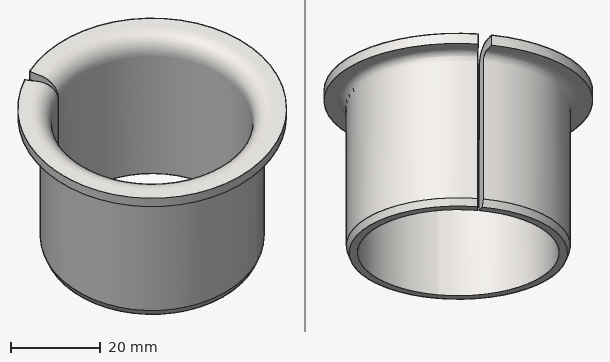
import cadquery as cq
import math

flange_diameter = 60.0
height = 40.0
bore_diameter = 45.0
wall = 2.5
flare_radius = 4.5
chamfer_height = 1.75
chamfer_angle = 20.0
gap_angle = 20.0
gap_at_bore = 0.35

flange_radius = flange_diameter / 2
bore_radius = bore_diameter / 2
body_radius = bore_radius + wall
bend_center_radius = bore_radius + flare_radius
bend_center_z = height - flare_radius
under_bend_radius = flare_radius - wall
chamfer_width = chamfer_height * math.tan(math.radians(chamfer_angle))


def bend_middle(radius):
    """Midpoint of a quarter-circle bend about the common bend center."""
    offset = radius * math.sqrt(0.5)
    return (bend_center_radius - offset, bend_center_z + offset)


def flanged_sleeve():
    """Revolve the wall section: sleeve, concentric bend and flange."""
    return (
        cq.Workplane("XZ")
        .moveTo(bore_radius, 0)
        .lineTo(bore_radius, bend_center_z)
        .threePointArc(bend_middle(flare_radius), (bend_center_radius, height))
        .lineTo(flange_radius, height)
        .lineTo(flange_radius, height - wall)
        .lineTo(bend_center_radius, height - wall)
        .threePointArc(bend_middle(under_bend_radius), (body_radius, bend_center_z))
        .lineTo(body_radius, chamfer_height)
        .lineTo(body_radius - chamfer_width, 0)
        .close()
        .revolve(360, (0, 0, 0), (0, 1, 0))
    )


def split_wedge():
    """Full-height wedge on the -X side, widening outward from the bore."""
    slope = math.tan(math.radians(gap_angle / 2))
    apex_radius = bore_radius - gap_at_bore / 2 / slope
    outer_reach = flange_radius + wall
    half_width = (outer_reach - apex_radius) * slope
    return (
        cq.Workplane("XY")
        .polyline([(-apex_radius, 0), (-outer_reach, half_width), (-outer_reach, -half_width)])
        .close()
        .extrude(height)
    )


result = flanged_sleeve().cut(split_wedge())